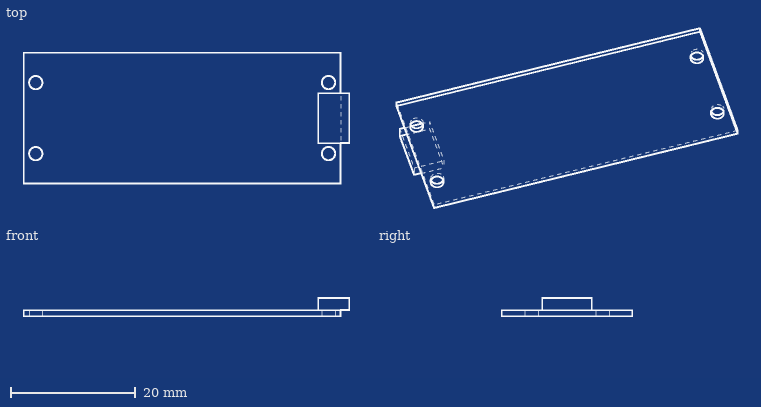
import cadquery as cq

board_length = 50.9
board_width = 21.0
board_thickness = 1.0

hole_diameter = 2.1
hole_spacing_x = 47.0
hole_spacing_y = 11.4

connector_length = 5.0
connector_width = 8.0
connector_height = 2.0
connector_overhang = 1.4


def make_board():
    """Flat board resting on Z = 0, drilled through at the four mounting points."""
    return (
        cq.Workplane("XY")
        .box(board_length, board_width, board_thickness, centered=(True, True, False))
        .faces(">Z")
        .workplane()
        .rect(hole_spacing_x, hole_spacing_y, forConstruction=True)
        .vertices()
        .hole(hole_diameter)
    )


def make_connector():
    """Plain block on top of the board, centred across its width."""
    center_x = board_length / 2 + connector_overhang - connector_length / 2
    return (
        cq.Workplane("XY", origin=(center_x, 0, board_thickness))
        .box(connector_length, connector_width, connector_height, centered=(True, True, False))
    )


result = make_board().union(make_connector())